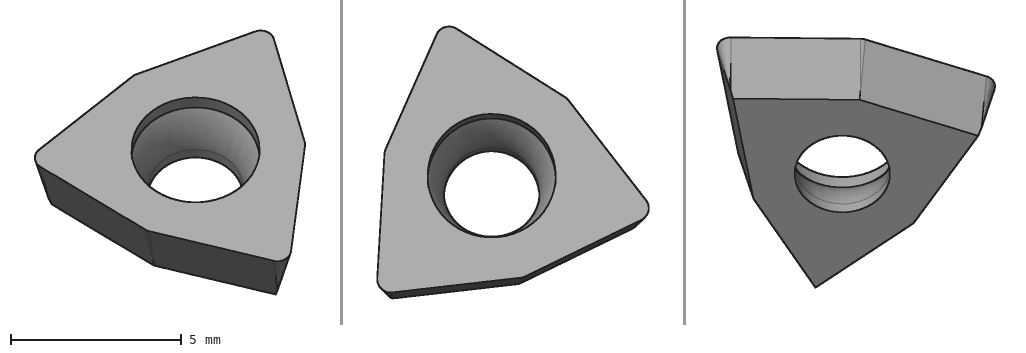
import cadquery as cq
import math

inscribed_radius = 3.175
thickness = 2.38
corner_radius = 0.4
clearance_angle = 11.0
sharp_corner_angle = 80.0
base_corner_direction = 220.0

mouth_radius = 1.88
bore_radius = 1.395
mouth_depth = 0.51
seat_end_depth = 1.96

clearance_slope = math.tan(math.radians(clearance_angle))


def polar(radius, degrees):
    angle = math.radians(degrees)
    return (radius * math.cos(angle), radius * math.sin(angle))


def corners(inradius):
    """Corners of the trigon as (distance from centre, direction, half angle)."""
    sharp_half = sharp_corner_angle / 2
    blunt_half = 120 - sharp_half
    found = []
    for index in range(3):
        direction = base_corner_direction + 120 * index
        for turn, half in ((0, sharp_half), (60, blunt_half)):
            distance = inradius / math.sin(math.radians(half))
            found.append((distance, direction + turn, half))
    return found


def trigon(inradius, height):
    outline = [polar(distance, direction) for distance, direction, _ in corners(inradius)]
    return cq.Workplane("XY").workplane(offset=height).polyline(outline).close()


def tapered_body():
    """Sharp-cornered body that narrows by the clearance angle towards the bottom."""
    base_inradius = inscribed_radius - thickness * clearance_slope
    base = trigon(base_inradius, 0).wire().val()
    top = trigon(inscribed_radius, thickness).wire().val()
    return cq.Workplane(cq.Solid.makeLoft([base, top], True))


def round_corner(body, distance, direction, half_angle):
    """Replace one corner with a cone sector that runs out to a point near the bottom."""
    cone_height = corner_radius / clearance_slope
    cone_base = thickness - cone_height
    axis_distance = (inscribed_radius - corner_radius) / math.sin(math.radians(half_angle))
    axis_x, axis_y = polar(axis_distance, direction)
    half_sweep = 90 - half_angle
    tangents = []
    for side in (-1, 1):
        dx, dy = polar(corner_radius, direction + side * half_sweep)
        tangents.append((axis_x + dx, axis_y + dy))
    kite = [(axis_x, axis_y), tangents[0], polar(distance, direction), tangents[1]]
    block = cq.Workplane("XY").workplane(offset=cone_base).polyline(kite).close().extrude(cone_height)
    sector = (
        cq.Workplane("XZ")
        .polyline([(0, 0), (corner_radius, cone_height), (0, cone_height)])
        .close()
        .revolve(2 * half_sweep, (0, 0, 0), (0, 1, 0))
    )
    middle = sector.val().Center()
    sector_direction = math.degrees(math.atan2(middle.y, middle.x))
    sector = sector.rotate((0, 0, 0), (0, 0, 1), direction - sector_direction)
    return body.cut(block).union(sector.translate((axis_x, axis_y, cone_base)))


def screw_hole():
    """Straight mouth, curved seat tangent to the bore, and bore through the bottom."""
    seat_top = thickness - mouth_depth
    seat_bottom = thickness - seat_end_depth
    seat_height = seat_top - seat_bottom
    seat_step = mouth_radius - bore_radius
    seat_radius = (seat_height**2 + seat_step**2) / (2 * seat_step)
    arc_angle = math.asin(seat_height / seat_radius) / 2
    seat_middle = (
        bore_radius + seat_radius * (1 - math.cos(arc_angle)),
        seat_bottom + seat_radius * math.sin(arc_angle),
    )
    profile = (
        cq.Workplane("XZ")
        .moveTo(0, 0)
        .lineTo(bore_radius, 0)
        .lineTo(bore_radius, seat_bottom)
        .threePointArc(seat_middle, (mouth_radius, seat_top))
        .lineTo(mouth_radius, thickness)
        .lineTo(0, thickness)
        .close()
    )
    return profile.revolve(360, (0, 0, 0), (0, 1, 0))


body = tapered_body()
for corner in corners(inscribed_radius):
    body = round_corner(body, *corner)

result = body.cut(screw_hole())